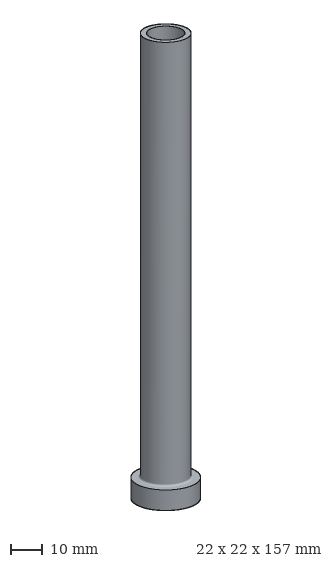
import cadquery as cq

total_length = 157.0
head_diameter = 22.0
head_height = 7.0
shank_diameter = 16.0
bore_diameter = 12.0
fillet_radius = 0.7


def make_blank():
    """Solid of revolution: shank standing on the wider head."""
    head = cq.Workplane("XY").circle(head_diameter / 2).extrude(head_height)
    shank = cq.Workplane("XY").circle(shank_diameter / 2).extrude(total_length)
    return head.union(shank)


def round_shoulder(body):
    """Fillet the inside corner where the shank meets the head."""
    corner = cq.selectors.RadiusNthSelector(0)
    return body.faces("<Z[1]").edges(corner).fillet(fillet_radius)


def cut_bore(body):
    """Open the bore through the full length."""
    bore = cq.Workplane("XY").circle(bore_diameter / 2).extrude(total_length)
    return body.cut(bore)


result = cut_bore(round_shoulder(make_blank()))